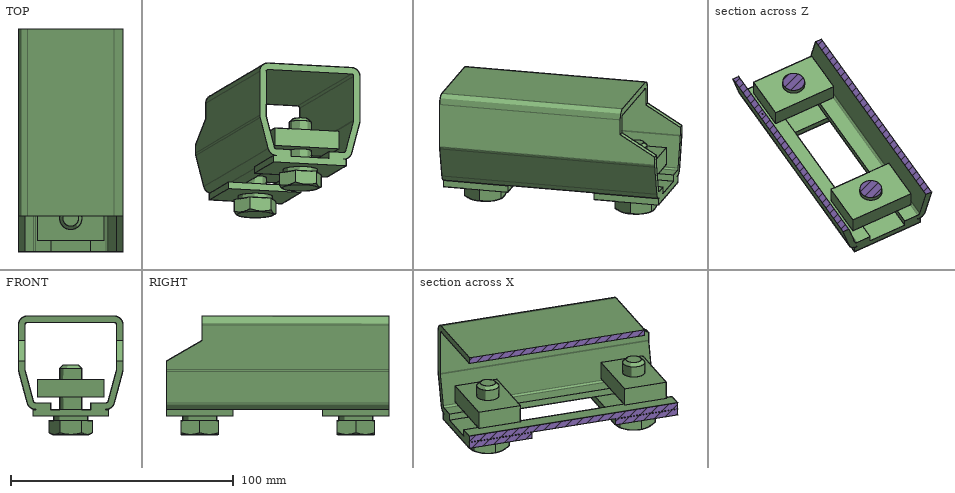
import cadquery as cq
import math

LENGTH = 100.0
WIDTH = 47.0
HEIGHT = 42.0
SHEET = 3.0
INNER_BEND = 1.0
OUTER_BEND = INNER_BEND + SHEET
WALL_SLOPE = math.radians(15)
SLOPE_START_DEPTH = 24.0
SLOT_WIDTH = 17.8

CUT_LENGTH = 16.0
CUT_DEPTH = 11.0
CUT_SLOPE = math.radians(30)

PLATE_LENGTH = 30.0
PLATE_WIDTH = 34.0
PLATE_THICKNESS = 3.0
PLATE_HOLE_DIAMETER = 11.0

BLOCK_WIDTH = 30.0
BLOCK_LENGTH = 20.0
BLOCK_THICKNESS = 8.0
BLOCK_BOTTOM = 5.5

BOLT_DIAMETER = 10.0
BOLT_LENGTH = 25.0
TIP_CHAMFER = 1.5
WASHER_DIAMETER = 15.4
WASHER_THICKNESS = 2.0
HEAD_FLATS = 17.0
HEAD_HEIGHT = 6.4
HEAD_FACE_DIAMETER = 0.95 * HEAD_FLATS
HEAD_CHAMFER_SLOPE = math.radians(30)

UPPER_BEND_X = WIDTH / 2 - OUTER_BEND
ROOF_BEND_Z = HEIGHT - OUTER_BEND
SLOPE_BEND_Z = HEIGHT - SLOPE_START_DEPTH
LIP_BEND_Z = OUTER_BEND
LIP_BEND_X = UPPER_BEND_X - (SLOPE_BEND_Z - LIP_BEND_Z) * math.tan(WALL_SLOPE)


def bend_point(center_x, center_z, radius, angle):
    """Point on a bend; the angle is measured from +X towards +Z."""
    return (center_x + radius * math.cos(angle), center_z + radius * math.sin(angle))


def half_channel_profile():
    """Right half of the channel section, drawn on the XZ plane."""
    def roof(radius, angle):
        return bend_point(UPPER_BEND_X, ROOF_BEND_Z, radius, angle)

    def wall(radius, angle):
        return bend_point(UPPER_BEND_X, SLOPE_BEND_Z, radius, angle)

    def lip(radius, angle):
        return bend_point(LIP_BEND_X, LIP_BEND_Z, radius, angle)

    middle = (-WALL_SLOPE - math.pi / 2) / 2
    return (
        cq.Workplane("XZ")
        .moveTo(0, HEIGHT)
        .lineTo(*roof(OUTER_BEND, math.pi / 2))
        .threePointArc(roof(OUTER_BEND, math.pi / 4), roof(OUTER_BEND, 0))
        .lineTo(*wall(OUTER_BEND, 0))
        .threePointArc(wall(OUTER_BEND, -WALL_SLOPE / 2), wall(OUTER_BEND, -WALL_SLOPE))
        .lineTo(*lip(OUTER_BEND, -WALL_SLOPE))
        .threePointArc(lip(OUTER_BEND, middle), lip(OUTER_BEND, -math.pi / 2))
        .lineTo(SLOT_WIDTH / 2, 0)
        .lineTo(SLOT_WIDTH / 2, SHEET)
        .lineTo(*lip(INNER_BEND, -math.pi / 2))
        .threePointArc(lip(INNER_BEND, middle), lip(INNER_BEND, -WALL_SLOPE))
        .lineTo(*wall(INNER_BEND, -WALL_SLOPE))
        .threePointArc(wall(INNER_BEND, -WALL_SLOPE / 2), wall(INNER_BEND, 0))
        .lineTo(*roof(INNER_BEND, 0))
        .threePointArc(roof(INNER_BEND, math.pi / 4), roof(INNER_BEND, math.pi / 2))
        .lineTo(0, HEIGHT - SHEET)
        .close()
    )


def make_channel():
    half = half_channel_profile().extrude(-LENGTH)
    channel = half.union(half.mirror("YZ"))
    cut_top = HEIGHT - CUT_DEPTH
    cut_front = cut_top - CUT_LENGTH * math.tan(CUT_SLOPE)
    cutter = (
        cq.Workplane("YZ")
        .polyline([(0, HEIGHT), (CUT_LENGTH, HEIGHT), (CUT_LENGTH, cut_top), (0, cut_front)])
        .close()
        .extrude(WIDTH / 2, both=True)
    )
    return channel.cut(cutter)


def centered_block(width, length, bottom, top):
    """Box centred on the Z axis between two heights."""
    return cq.Workplane("XY").workplane(offset=bottom).rect(width, length).extrude(top - bottom)


def make_clamp_plate():
    """Flat plate under the lips with a clearance hole for the bolt."""
    plate = centered_block(PLATE_WIDTH, PLATE_LENGTH, -PLATE_THICKNESS, 0)
    return plate.faces("<Z").workplane().hole(PLATE_HOLE_DIAMETER)


def make_bolt():
    """Bolt on the Z axis with its washer, the head pointing down."""
    head_top = -PLATE_THICKNESS - WASHER_THICKNESS
    head_bottom = head_top - HEAD_HEIGHT
    tip = head_top + BOLT_LENGTH
    head_corners = HEAD_FLATS / math.cos(math.pi / 6)
    corner_rise = (head_corners - HEAD_FACE_DIAMETER) / 2 * math.tan(HEAD_CHAMFER_SLOPE)

    head = cq.Workplane("XY").workplane(offset=head_bottom).polygon(6, head_corners).extrude(HEAD_HEIGHT)
    head_envelope = (
        cq.Workplane("XZ")
        .polyline([
            (0, head_bottom),
            (HEAD_FACE_DIAMETER / 2, head_bottom),
            (head_corners / 2, head_bottom + corner_rise),
            (head_corners / 2, head_top),
            (0, head_top),
        ])
        .close()
        .revolve(360, (0, 0), (0, 1))
    )
    shank_and_washer = (
        cq.Workplane("XZ")
        .polyline([
            (0, head_top),
            (WASHER_DIAMETER / 2, head_top),
            (WASHER_DIAMETER / 2, -PLATE_THICKNESS),
            (BOLT_DIAMETER / 2, -PLATE_THICKNESS),
            (BOLT_DIAMETER / 2, tip - TIP_CHAMFER),
            (BOLT_DIAMETER / 2 - TIP_CHAMFER, tip),
            (0, tip),
        ])
        .close()
        .revolve(360, (0, 0), (0, 1))
    )
    return head.intersect(head_envelope).union(shank_and_washer)


def make_clamp():
    block = centered_block(BLOCK_WIDTH, BLOCK_LENGTH, BLOCK_BOTTOM, BLOCK_BOTTOM + BLOCK_THICKNESS)
    return make_clamp_plate().union(make_bolt()).union(block)


result = make_channel()
clamp = make_clamp()
for clamp_y in (PLATE_LENGTH / 2, LENGTH - PLATE_LENGTH / 2):
    result = result.union(clamp.translate((0, clamp_y, 0)))